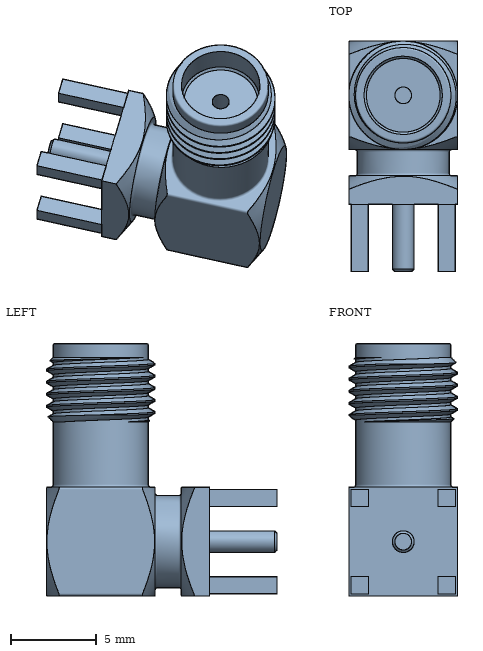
import cadquery as cq
import math


body_side = 6.35
half_side = body_side / 2
block_edge_fillet = 0.15
turned_face_radius = 3.12
turned_angle = 30

neck_radius = 2.7
neck_length = 1.52
neck_fillet = 0.13
flange_thickness = 1.66

pin_length = 3.93
leg_side = 1.0
leg_spacing = 5.08
contact_radius = 0.63
contact_chamfer = 0.15

overall_height = 14.73
barrel_radius = 2.78
barrel_base_fillet = 0.15
rim_fillet = 0.12
bore_radius = 2.28
bore_depth = 1.89
bore_corner_chamfer = 0.13
socket_radius = 0.49
socket_depth = 2.21

thread_radius = half_side
thread_pitch = 0.7
thread_half_angle = 30
thread_top_gap = 0.81
thread_length = 3.75
crest_width = thread_pitch / 8
thread_embed = 0.07
crest_depth = 1.02

rim_z = overall_height - half_side
neck_start = -half_side
flange_back = neck_start - neck_length
flange_front = flange_back - flange_thickness
bore_floor_z = rim_z - bore_depth

arc_middle = 1 - math.sqrt(0.5)


def cylinder_z(radius, bottom, height):
    return cq.Workplane("XY").workplane(offset=bottom).circle(radius).extrude(height)


def cylinder_y(radius, start, length):
    """Cylinder about the Y axis, running from start toward -Y."""
    return cq.Workplane("XZ", origin=(0, start, 0)).circle(radius).extrude(length)


def turned_envelope(face_y, inward, depth):
    """Round stock about Y whose end at face_y has a conical chamfer; inward is +1 or -1 along Y."""
    stock_radius = body_side
    cone_depth = (stock_radius - turned_face_radius) * math.tan(math.radians(turned_angle))
    return (
        cq.Workplane("XY")
        .moveTo(0, face_y)
        .lineTo(turned_face_radius, face_y)
        .lineTo(stock_radius, face_y + inward * cone_depth)
        .lineTo(stock_radius, face_y + inward * depth)
        .lineTo(0, face_y + inward * depth)
        .close()
        .revolve(360, (0, 0, 0), (0, 1, 0))
    )


def elbow_block():
    block = cq.Workplane("XY").box(body_side, body_side, body_side)
    block = block.edges("|Y").fillet(block_edge_fillet)
    block = block.intersect(turned_envelope(half_side, -1, body_side))
    return block.intersect(turned_envelope(-half_side, 1, body_side))


def flange():
    plate = (
        cq.Workplane("XZ", origin=(0, flange_back, 0))
        .rect(body_side, body_side)
        .extrude(flange_thickness)
    )
    return plate.intersect(turned_envelope(flange_back, -1, body_side))


def neck():
    """Round neck with a concave fillet at both ends."""
    foot_radius = neck_radius + neck_fillet
    sag = neck_fillet * arc_middle
    return (
        cq.Workplane("XY")
        .moveTo(0, neck_start)
        .lineTo(foot_radius, neck_start)
        .threePointArc((neck_radius + sag, neck_start - sag), (neck_radius, neck_start - neck_fillet))
        .lineTo(neck_radius, flange_back + neck_fillet)
        .threePointArc((neck_radius + sag, flange_back + sag), (foot_radius, flange_back))
        .lineTo(0, flange_back)
        .close()
        .revolve(360, (0, 0, 0), (0, 1, 0))
    )


def ground_legs():
    return (
        cq.Workplane("XZ", origin=(0, flange_front, 0))
        .rect(leg_spacing, leg_spacing, forConstruction=True)
        .vertices()
        .rect(leg_side, leg_side)
        .extrude(pin_length)
    )


def contact_pin():
    return cylinder_y(contact_radius, flange_front, pin_length).faces("<Y").chamfer(contact_chamfer)


def barrel():
    """Plain tube outside with a rounded rim and a concave fillet onto the block."""
    foot_radius = barrel_radius + barrel_base_fillet
    foot_sag = barrel_base_fillet * arc_middle
    rim_sag = rim_fillet * arc_middle
    return (
        cq.Workplane("XZ")
        .moveTo(0, half_side)
        .lineTo(foot_radius, half_side)
        .threePointArc(
            (barrel_radius + foot_sag, half_side + foot_sag),
            (barrel_radius, half_side + barrel_base_fillet),
        )
        .lineTo(barrel_radius, rim_z - rim_fillet)
        .threePointArc((barrel_radius - rim_sag, rim_z - rim_sag), (barrel_radius - rim_fillet, rim_z))
        .lineTo(0, rim_z)
        .close()
        .revolve(360, (0, 0, 0), (0, 1, 0))
    )


def thread():
    """Right-hand helical ridge, trimmed at both ends by 45 degree run-outs."""
    root_radius = barrel_radius - thread_embed
    ridge_height = thread_radius - root_radius
    root_half_width = crest_width / 2 + ridge_height * math.tan(math.radians(thread_half_angle))
    thread_top = rim_z - thread_top_gap
    thread_bottom = thread_top - thread_length
    turns = math.ceil(thread_length / thread_pitch) + 1
    start_z = rim_z - crest_depth - turns * thread_pitch

    helix = cq.Wire.makeHelix(thread_pitch, (turns + 1) * thread_pitch, root_radius)
    ridge = (
        cq.Workplane("XZ")
        .polyline([
            (root_radius, -root_half_width),
            (thread_radius, -crest_width / 2),
            (thread_radius, crest_width / 2),
            (root_radius, root_half_width),
        ])
        .close()
        .sweep(cq.Workplane(obj=helix), isFrenet=True)
        .translate((0, 0, start_z))
    )

    runout = thread_radius - barrel_radius
    blank_radius = thread_radius + runout
    blank = (
        cq.Workplane("XZ")
        .moveTo(0, thread_bottom)
        .lineTo(barrel_radius, thread_bottom)
        .lineTo(blank_radius, thread_bottom + 2 * runout)
        .lineTo(blank_radius, thread_top - 2 * runout)
        .lineTo(barrel_radius, thread_top)
        .lineTo(0, thread_top)
        .close()
        .revolve(360, (0, 0, 0), (0, 1, 0))
    )
    return ridge.intersect(blank)


def mating_bore():
    """Bore with a sloped floor corner."""
    return cylinder_z(bore_radius, bore_floor_z, bore_depth).faces("<Z").chamfer(bore_corner_chamfer)


def contact_socket():
    return cylinder_z(socket_radius, bore_floor_z - socket_depth, socket_depth)


result = (
    elbow_block()
    .union(neck())
    .union(flange())
    .union(ground_legs())
    .union(contact_pin())
    .union(barrel())
    .union(thread())
    .cut(mating_bore())
    .cut(contact_socket())
)